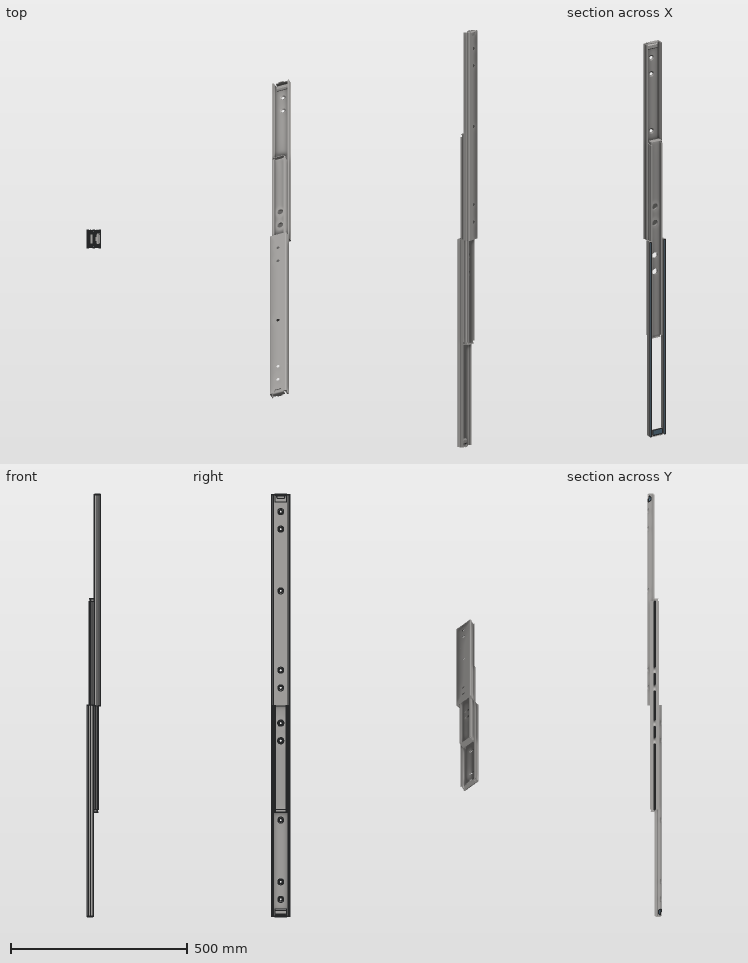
import cadquery as cq


total_length = 1200.0
total_width = 51.38
total_depth = 39.0
middle_x = total_depth / 2
middle_z = total_length / 2

rail_depth = 19.0
rail_floor = 2.5
rail_half_width = total_width / 2
rail_corner = 3.0
rail_leg_inside = 20.5
rail_lip_inside = 22.7
rail_bottom = 2.0
rail_top = 601.0
track_start = 4.5
track_end = 10.0
track_depth = 2.0
flat_end = 17.0
flat_depth = 1.8

hole_heights = (50.0, 100.0, 275.0, 500.0, 550.0)
hole_diameter = 9.0
countersink_diameter = 17.0
access_diameter = 17.5
lower_access_heights = hole_heights[-2:]
upper_access_heights = tuple(total_length - height for height in lower_access_heights)

tab_half_width = 17.0
tab_thickness = rail_floor
tab_bend = 4.0
tab_reach = 12.5
tab_nose_half_width = 7.0
tab_nose_reach = 16.0

window_bottom = tab_bend
window_top = 13.5
window_bottom_half_width = 13.0
window_top_half_width = 9.5
bumper_bottom = tab_bend + 1.0
bumper_top = 22.5
bumper_chamfer = 4.0
bumper_half_width = 17.0
bumper_front = 9.0

inner_front = 6.5
inner_back_thickness = 2.5
inner_half_width = 19.0
inner_leg_inside = 14.5
inner_top = 895.0
inner_bottom = total_length - inner_top
inner_corner = 3.0
groove_centre_x = 12.0
groove_centre_y = (inner_half_width + rail_leg_inside) / 2
groove_radius = 2.5

stop_top = 903.0
stop_plate = 1.5
stop_front = 7.5
stop_back = 23.5
stop_half_width = 17.5
foot_front = 9.5
foot_corner = 3.0
tongue_half_width = inner_leg_inside


def box(x_range, half_width, z_range):
    """Block centred on Y between two X values and two Z values."""
    size_x = x_range[1] - x_range[0]
    size_z = z_range[1] - z_range[0]
    block = cq.Workplane("XY").box(size_x, 2 * half_width, size_z, centered=(False, True, False))
    return block.translate((x_range[0], 0, z_range[0]))


def turned(body):
    """Copy for the upper half, turned about the Y axis line through the middle."""
    start = (middle_x, 0, middle_z)
    return body.rotate(start, (middle_x, 1, middle_z), 180)


def floor_holes(heights, diameter, x_start, depth):
    """Cutters along X at the given heights."""
    points = [(0, height) for height in heights]
    plane = cq.Workplane("YZ", origin=(x_start, 0, 0))
    return plane.pushPoints(points).circle(diameter / 2).extrude(depth)


def countersinks():
    """Cones opening toward the inside of the outer rail."""
    cutters = cq.Workplane("XY")
    for height in hole_heights:
        cone = cq.Solid.makeCone(
            hole_diameter / 2, countersink_diameter / 2, rail_floor,
            pnt=cq.Vector(0, 0, height), dir=cq.Vector(1, 0, 0),
        )
        cutters = cutters.add(cone)
    return cutters.combine()


def floor_window():
    """Trapezoid prism through the floor near the tab."""
    outline = [
        (-window_bottom_half_width, window_bottom),
        (window_bottom_half_width, window_bottom),
        (window_top_half_width, window_top),
        (-window_top_half_width, window_top),
    ]
    return cq.Workplane("YZ").polyline(outline).close().extrude(rail_floor)


def ball_grooves():
    """Cutters: round bars along Z where the balls run between outer and inner rail legs."""
    centres = [(groove_centre_x, groove_centre_y), (groove_centre_x, -groove_centre_y)]
    return cq.Workplane("XY").pushPoints(centres).circle(groove_radius).extrude(total_length)


def rail_channel():
    half = rail_half_width
    flat = half - flat_depth
    track_middle = (track_start + track_end) / 2
    leg_side = (
        cq.Workplane("XY", origin=(0, 0, rail_bottom))
        .moveTo(0, 0)
        .lineTo(0, half - rail_corner)
        .radiusArc((rail_corner, half), rail_corner)
        .lineTo(track_start, half)
        .threePointArc((track_middle, half - track_depth), (track_end, half - flat_depth / 2))
        .lineTo(track_end, flat)
        .lineTo(flat_end, flat)
        .lineTo(flat_end, half)
        .lineTo(rail_depth, half)
        .lineTo(rail_depth, rail_lip_inside)
        .lineTo(flat_end, rail_lip_inside)
        .lineTo(flat_end, rail_leg_inside)
        .lineTo(rail_floor, rail_leg_inside)
        .lineTo(rail_floor, 0)
        .close()
        .extrude(rail_top - rail_bottom)
    )
    return leg_side.union(leg_side.mirror("XZ"))


def rail_tab():
    inner_bend = tab_bend - tab_thickness
    bent_strip = (
        cq.Workplane("XZ")
        .moveTo(tab_reach, 0)
        .lineTo(tab_bend, 0)
        .radiusArc((0, tab_bend), tab_bend)
        .lineTo(tab_thickness, tab_bend)
        .radiusArc((tab_bend, tab_thickness), -inner_bend)
        .lineTo(tab_reach, tab_thickness)
        .close()
        .extrude(tab_half_width, both=True)
    )
    nose = box((tab_bend, tab_nose_reach), tab_nose_half_width, (0, tab_thickness))
    return bent_strip.union(nose)


def make_outer_rail():
    end_relief = box((0, tab_bend), tab_half_width, (0, tab_bend))
    rail = rail_channel().cut(end_relief).union(rail_tab())
    rail = rail.cut(floor_window())
    rail = rail.cut(floor_holes(hole_heights, hole_diameter, 0, rail_floor))
    return rail.cut(countersinks()).cut(ball_grooves())


def make_bumper():
    block = box((rail_floor, bumper_front), bumper_half_width, (bumper_bottom, bumper_top))
    return block.edges(">X and |Y").chamfer(bumper_chamfer)


def make_inner_rail():
    block = box((inner_front, middle_x), inner_half_width, (inner_bottom, inner_top))
    block = block.edges("|Z and >X").fillet(inner_corner)
    channel = box(
        (inner_front, middle_x - inner_back_thickness), inner_leg_inside, (inner_bottom, inner_top)
    )
    rail = block.cut(channel).cut(ball_grooves())
    access_heights = lower_access_heights + upper_access_heights
    rail = rail.cut(floor_holes(access_heights, access_diameter, inner_front, middle_x - inner_front))
    tongue = box(
        (middle_x - inner_back_thickness, middle_x),
        tongue_half_width,
        (inner_top, stop_top - stop_plate),
    )
    return rail.union(tongue)


def make_inner_stop():
    plate_bottom = stop_top - stop_plate
    feet = box((foot_front, middle_x), stop_half_width, (inner_top, plate_bottom))
    feet = feet.edges("|Z and <X").fillet(foot_corner)
    feet = feet.cut(box((foot_front, middle_x), tongue_half_width, (inner_top, plate_bottom)))
    plate = box((stop_front, stop_back), stop_half_width, (plate_bottom, stop_top))
    return plate.union(feet)


bodies = []
for make_body in (make_outer_rail, make_bumper, make_inner_rail, make_inner_stop):
    lower_body = make_body()
    bodies.append(lower_body.val())
    bodies.append(turned(lower_body).val())

result = cq.Compound.makeCompound(bodies)